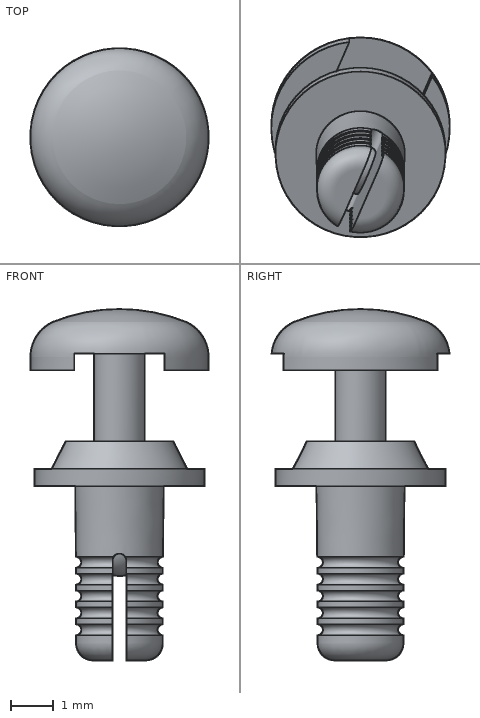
import cadquery as cq


FLANGE_DIAMETER = 4.0
FLANGE_BOTTOM = 4.1
FLANGE_TOP = 4.51
COLLAR_BASE_RADIUS = 1.6
COLLAR_TOP_RADIUS = 1.265
COLLAR_TOP = 5.16
SHANK_TOP_DIAMETER = 2.09
SHANK_DIAMETER = 2.05
SHANK_END_ROUND = 0.41

GROOVE_COUNT = 5
GROOVE_PITCH = 0.4
GROOVE_WIDTH = 0.26
GROOVE_DEPTH = 0.12
GROOVED_TOP = 2.44

LEG_SLOT_WIDTH = 0.32
LEG_SLOT_TOP = 2.51

ROD_DIAMETER = 1.2
ROD_TIP = 1.985
HEAD_DIAMETER = 4.2
HEAD_BOTTOM = 6.82
DOME_BOTTOM = 7.14
CROWN_BOTTOM = 7.96
CROWN_RADIUS = 1.57
HEAD_TOP = 8.27
HEAD_SLOT_WIDTH = 2.12
HEAD_SLOT_TOP = 7.22


def make_rod(top):
    """Round rod with a hemispherical lower end."""
    radius = ROD_DIAMETER / 2
    tip_center = ROD_TIP + radius
    profile = (
        cq.Workplane("XZ")
        .moveTo(0, ROD_TIP)
        .radiusArc((radius, tip_center), -radius)
        .lineTo(radius, top)
        .lineTo(0, top)
        .close()
    )
    return profile.revolve(360, (0, 0), (0, 1))


def make_head():
    """Domed head with a straight slot across its underside."""
    radius = HEAD_DIAMETER / 2
    crown_rise = HEAD_TOP - CROWN_BOTTOM
    crown_sphere_radius = (CROWN_RADIUS**2 + crown_rise**2) / (2 * crown_rise)
    profile = (
        cq.Workplane("XZ")
        .moveTo(0, HEAD_BOTTOM)
        .lineTo(radius, HEAD_BOTTOM)
        .lineTo(radius, DOME_BOTTOM)
        .tangentArcPoint((CROWN_RADIUS, CROWN_BOTTOM), relative=False)
        .radiusArc((0, HEAD_TOP), -crown_sphere_radius)
        .close()
    )
    head = profile.revolve(360, (0, 0), (0, 1))
    slot = (
        cq.Workplane("XY", origin=(0, 0, HEAD_BOTTOM))
        .rect(HEAD_SLOT_WIDTH, HEAD_DIAMETER)
        .extrude(HEAD_SLOT_TOP - HEAD_BOTTOM)
    )
    return head.cut(slot)


def make_pin():
    return make_head().union(make_rod(top=CROWN_BOTTOM))


def make_sleeve_blank():
    """Solid of revolution with the grooves and the rounded lower end."""
    shank_radius = SHANK_DIAMETER / 2
    profile = (
        cq.Workplane("XZ")
        .lineTo(shank_radius - SHANK_END_ROUND, 0)
        .radiusArc((shank_radius, SHANK_END_ROUND), -SHANK_END_ROUND)
    )
    for index in reversed(range(GROOVE_COUNT)):
        groove_top = GROOVED_TOP - index * GROOVE_PITCH
        groove_middle = groove_top - GROOVE_WIDTH / 2
        profile = profile.lineTo(shank_radius, groove_top - GROOVE_WIDTH).threePointArc(
            (shank_radius - GROOVE_DEPTH, groove_middle), (shank_radius, groove_top)
        )
    profile = (
        profile.lineTo(SHANK_TOP_DIAMETER / 2, FLANGE_BOTTOM)
        .lineTo(FLANGE_DIAMETER / 2, FLANGE_BOTTOM)
        .lineTo(FLANGE_DIAMETER / 2, FLANGE_TOP)
        .lineTo(COLLAR_BASE_RADIUS, FLANGE_TOP)
        .lineTo(COLLAR_TOP_RADIUS, COLLAR_TOP)
        .lineTo(0, COLLAR_TOP)
        .close()
    )
    return profile.revolve(360, (0, 0), (0, 1))


def make_leg_slot():
    """Slot along Y, open at the bottom and round at the top."""
    half_width = LEG_SLOT_WIDTH / 2
    arch_bottom = LEG_SLOT_TOP - half_width
    outline = (
        cq.Workplane("XZ")
        .moveTo(-half_width, 0)
        .lineTo(half_width, 0)
        .lineTo(half_width, arch_bottom)
        .threePointArc((0, LEG_SLOT_TOP), (-half_width, arch_bottom))
        .close()
    )
    return outline.extrude(SHANK_TOP_DIAMETER, both=True)


def make_sleeve():
    bore = make_rod(top=COLLAR_TOP)
    return make_sleeve_blank().cut(make_leg_slot()).cut(bore)


sleeve = make_sleeve()
pin = make_pin()

result = cq.Compound.makeCompound([sleeve.solids().val(), pin.solids().val()])